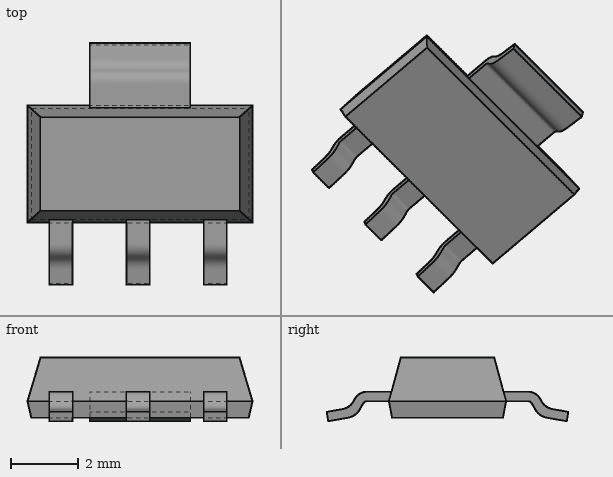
import cadquery as cq
import math

body_length = 6.7
body_width = 3.49
overall_height = 1.9
standoff = 0.1
parting_height = 0.6
top_inset_x = 0.39
top_inset_y = 0.35
bottom_inset_x = 0.115
bottom_inset_y = 0.09

lead_span = 7.2
lead_thickness = 0.29
lead_width = 0.7
lead_pitch = 2.3
lead_row_offset = -0.06
tab_width = 3.0
lead_top = parting_height + lead_thickness
shoulder_y = 2.635
ramp_angle = 60.0
foot_angle = 10.0
bend_outer_radius = 0.42
bend_inner_radius = bend_outer_radius - lead_thickness
toe_inner_radius = 0.45
toe_outer_radius = 0.49


def tapered_half(end_height, inset_x, inset_y):
    """Loft from the parting outline to a smaller rectangle at end_height."""
    return (
        cq.Workplane("XY", origin=(0, 0, parting_height))
        .rect(body_length, body_width)
        .workplane(offset=end_height - parting_height)
        .rect(body_length - 2 * inset_x, body_width - 2 * inset_y)
        .loft(ruled=True)
    )


def underside_point(upper_point, angle_before, angle_after):
    """Point of the strip's lower face below a corner where its downward slope changes."""
    mean_angle = math.radians((angle_before + angle_after) / 2)
    half_turn = math.radians((angle_after - angle_before) / 2)
    reach = lead_thickness / math.cos(half_turn)
    y, z = upper_point
    return (y - reach * math.sin(mean_angle), z - reach * math.cos(mean_angle))


def gull_wing(width):
    """Lead centred on X = 0, running from the body centre out towards +Y."""
    ramp_slope = math.tan(math.radians(ramp_angle))
    foot_slope = math.tan(math.radians(foot_angle))
    root = (0, lead_top)
    shoulder = (shoulder_y, lead_top)
    tip = (lead_span / 2, lead_thickness * math.cos(math.radians(foot_angle)))

    foot_height_at_shoulder = tip[1] + (tip[0] - shoulder_y) * foot_slope
    ramp_run = (lead_top - foot_height_at_shoulder) / (ramp_slope - foot_slope)
    heel = (shoulder_y + ramp_run, lead_top - ramp_run * ramp_slope)

    root_below = underside_point(root, 0, 0)
    shoulder_below = underside_point(shoulder, 0, ramp_angle)
    heel_below = underside_point(heel, ramp_angle, foot_angle)
    tip_below = underside_point(tip, foot_angle, foot_angle)

    outline = [root, shoulder, heel, tip, tip_below, heel_below, shoulder_below, root_below]
    lead = cq.Workplane("YZ").polyline(outline).close().extrude(width / 2, both=True)

    bends = [
        (shoulder, bend_outer_radius),
        (shoulder_below, bend_inner_radius),
        (heel, toe_inner_radius),
        (heel_below, toe_outer_radius),
    ]
    for (y, z), radius in bends:
        corner = cq.selectors.NearestToPointSelector((0, y, z))
        lead = lead.edges("|X").edges(corner).fillet(radius)
    return lead


result = tapered_half(overall_height, top_inset_x, top_inset_y)
result = result.union(tapered_half(standoff, bottom_inset_x, bottom_inset_y))

result = result.union(gull_wing(tab_width))

narrow_lead = gull_wing(lead_width).rotate((0, 0, 0), (0, 0, 1), 180)
for position in (-1, 0, 1):
    result = result.union(narrow_lead.translate((lead_row_offset + position * lead_pitch, 0, 0)))